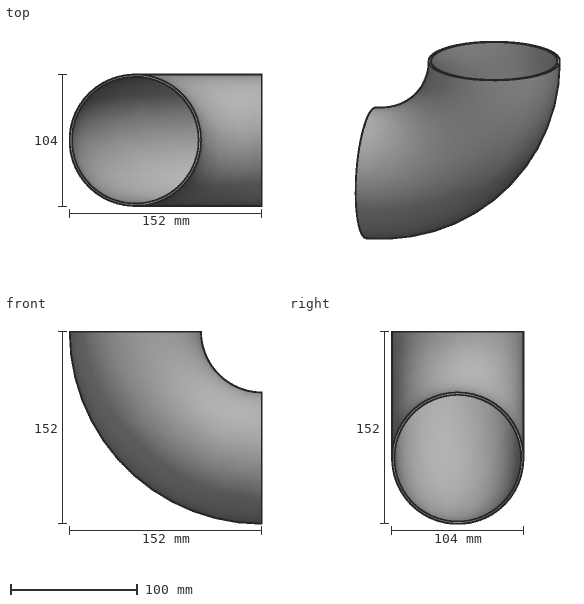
import cadquery as cq

overall_size = 152.0
outer_diameter = 104.0
wall_thickness = 2.0
bend_angle = 90.0

outer_radius = outer_diameter / 2
inner_radius = outer_radius - wall_thickness
bend_radius = overall_size - outer_radius

result = (
    cq.Workplane("XY")
    .center(-bend_radius, 0)
    .circle(outer_radius)
    .circle(inner_radius)
    .revolve(bend_angle, (bend_radius, 1.5, 0), (bend_radius, 0, 0))
)